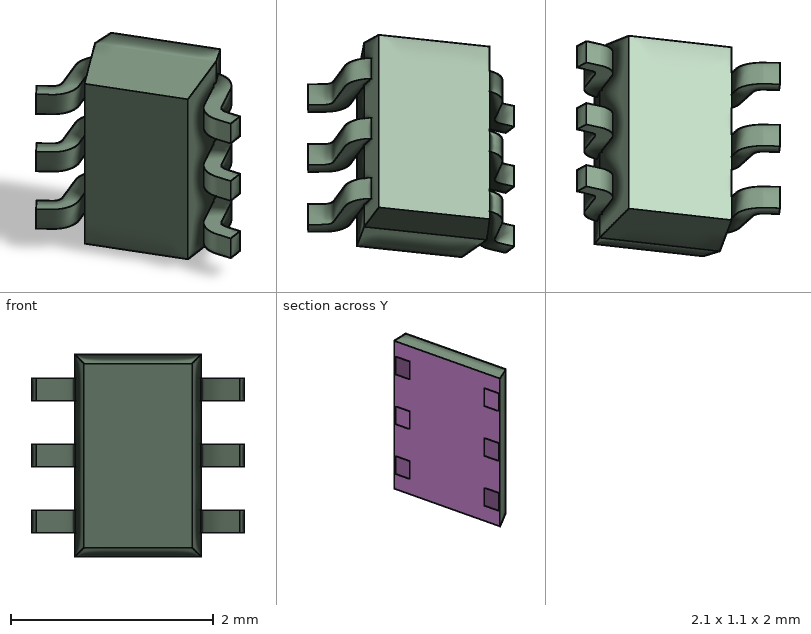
import cadquery as cq
import math


body_width = 1.25
body_length = 2.0
bottom_y = 0.099
parting_y = 0.75
top_y = 1.1
bottom_draft = 8.0
top_draft = 10.0

lead_span = 2.1
lead_thickness = 0.175
lead_width = 0.225
lead_pitch = 0.65
leads_per_side = 3
inner_radius = 0.097
outer_radius = inner_radius + lead_thickness
foot_length = 0.164
foot_angle = 15.0
shank_angle = 3.0
embedded_end_x = 0.42


def make_housing():
    """One moulding that tapers both ways from the parting plane."""
    lower = (
        cq.Workplane("XZ", origin=(0, parting_y, 0))
        .rect(body_width, body_length)
        .extrude(parting_y - bottom_y, taper=bottom_draft)
    )
    upper = (
        cq.Workplane("ZX", origin=(0, parting_y, 0))
        .rect(body_length, body_width)
        .extrude(top_y - parting_y, taper=top_draft)
    )
    return lower.union(upper)


def xy(point):
    """X and Y of a vector."""
    return point.x, point.y


def make_left_lead(z):
    """S-shaped lead on the -X side, centred at height z."""
    foot = math.radians(foot_angle)
    shank = math.radians(shank_angle)

    foot_normal = cq.Vector(math.sin(foot), -math.cos(foot))
    shank_normal = cq.Vector(-math.cos(shank), math.sin(shank))
    toward_toe = cq.Vector(-math.cos(foot), -math.sin(foot)) * foot_length
    up_shank = cq.Vector(math.sin(shank), math.cos(shank))

    lower_center = cq.Vector(
        -lead_span / 2 + foot_length * math.cos(foot) - inner_radius * math.sin(foot),
        outer_radius * math.cos(foot) + foot_length * math.sin(foot),
    )
    between_centers = shank_normal * (inner_radius + outer_radius)
    upper_center_y = parting_y - inner_radius
    shank_length = (upper_center_y - lower_center.y + between_centers.y) / math.cos(shank)
    upper_center = lower_center - between_centers + up_shank * shank_length

    lower_middle = (foot_normal - shank_normal).normalized()
    upward = cq.Vector(0, 1)
    upper_middle = (upward + shank_normal).normalized()

    foot_top = lower_center + foot_normal * inner_radius
    foot_bottom = lower_center + foot_normal * outer_radius
    embedded_bottom = cq.Vector(-embedded_end_x, parting_y)
    embedded_top = embedded_bottom + upward * lead_thickness

    return (
        cq.Workplane("XY", origin=(0, 0, z - lead_width / 2))
        .moveTo(*xy(foot_bottom + toward_toe))
        .lineTo(*xy(foot_bottom))
        .threePointArc(
            lower_center + lower_middle * outer_radius,
            lower_center - shank_normal * outer_radius,
        )
        .lineTo(*xy(upper_center + shank_normal * inner_radius))
        .threePointArc(
            upper_center + upper_middle * inner_radius,
            upper_center + upward * inner_radius,
        )
        .lineTo(*xy(embedded_bottom))
        .lineTo(*xy(embedded_top))
        .lineTo(*xy(upper_center + upward * outer_radius))
        .threePointArc(
            upper_center + upper_middle * outer_radius,
            upper_center + shank_normal * outer_radius,
        )
        .lineTo(*xy(lower_center - shank_normal * inner_radius))
        .threePointArc(
            lower_center + lower_middle * inner_radius,
            foot_top,
        )
        .lineTo(*xy(foot_top + toward_toe))
        .close()
        .extrude(lead_width)
    )


leads = []
for row in range(leads_per_side):
    lead_z = (row - (leads_per_side - 1) / 2) * lead_pitch
    left_lead = make_left_lead(lead_z)
    leads.append(left_lead)
    leads.append(left_lead.mirror("YZ"))

housing = make_housing()
for lead in leads:
    housing = housing.cut(lead)

result = cq.Compound.makeCompound([housing.solids().val(), *[lead.val() for lead in leads]])